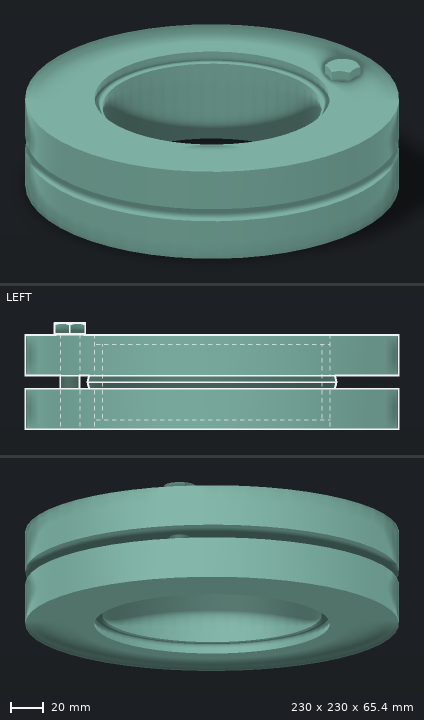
import cadquery as cq
import math

flange_diameter = 230.0
flange_thickness = 25.0
flange_gap = 8.0
flange_bore = 145.0

ring_bore = 135.0
ring_recess = 6.0
collar_edge_diameter = 151.3
collar_diameter = 153.5

bolt_offset = 87.5
shank_diameter = 12.0
head_sides = 6
head_across_flats = 19.0
head_top_diameter = 18.6
head_height = 7.4
head_bevel_angle = 30.0
washer_face_diameter = 17.2
washer_face_height = 0.6

gap_bottom = flange_thickness
gap_top = gap_bottom + flange_gap
gap_middle = (gap_bottom + gap_top) / 2
stack_top = gap_top + flange_thickness


def make_flange(base_z):
    """Flat annular flange with a through hole for the bolt."""
    return (
        cq.Workplane("XY", origin=(0, 0, base_z))
        .circle(flange_diameter / 2)
        .circle(flange_bore / 2)
        .extrude(flange_thickness)
        .cut(
            cq.Workplane("XY", origin=(0, bolt_offset, base_z))
            .circle(shank_diameter / 2)
            .extrude(flange_thickness)
        )
    )


def make_centring_ring():
    """Revolved sleeve inside both flanges, with a double-bevelled collar between them."""
    inner = ring_bore / 2
    outer = flange_bore / 2
    collar_edge = collar_edge_diameter / 2
    sleeve_bottom = ring_recess
    sleeve_top = stack_top - ring_recess
    return (
        cq.Workplane("XZ")
        .moveTo(inner, sleeve_bottom)
        .lineTo(outer, sleeve_bottom)
        .lineTo(outer, gap_bottom)
        .lineTo(collar_edge, gap_bottom)
        .lineTo(collar_diameter / 2, gap_middle)
        .lineTo(collar_edge, gap_top)
        .lineTo(outer, gap_top)
        .lineTo(outer, sleeve_top)
        .lineTo(inner, sleeve_top)
        .close()
        .revolve(360, (0, 0, 0), (0, 1, 0))
    )


def make_bolt():
    """Bolt with its hexagon corners bevelled at the top and a washer face below."""
    head_base = stack_top + washer_face_height
    corner_diameter = head_across_flats / math.cos(math.pi / head_sides)
    head_top = stack_top + head_height
    corner_radius = corner_diameter / 2
    top_radius = head_top_diameter / 2
    bevel_drop = (corner_radius - top_radius) * math.tan(math.radians(head_bevel_angle))
    head = (
        cq.Workplane("XY", origin=(0, bolt_offset, head_base))
        .polygon(head_sides, corner_diameter)
        .extrude(head_top - head_base)
    )
    bevel_envelope = (
        cq.Workplane("XZ", origin=(0, bolt_offset, 0))
        .moveTo(0, head_base)
        .lineTo(corner_radius, head_base)
        .lineTo(corner_radius, head_top - bevel_drop)
        .lineTo(top_radius, head_top)
        .lineTo(0, head_top)
        .close()
        .revolve(360, (0, 0, 0), (0, 1, 0))
    )
    washer_face = (
        cq.Workplane("XY", origin=(0, bolt_offset, stack_top))
        .circle(washer_face_diameter / 2)
        .extrude(washer_face_height)
    )
    shank = (
        cq.Workplane("XY", origin=(0, bolt_offset, 0))
        .circle(shank_diameter / 2)
        .extrude(stack_top)
    )
    return head.intersect(bevel_envelope).union(washer_face).union(shank)


flanges = [make_flange(base_z) for base_z in (0, gap_top)]
centring_ring = make_centring_ring()
bolt = make_bolt()

result = cq.Compound.makeCompound(
    [*[flange.val() for flange in flanges], centring_ring.val(), bolt.val()]
)